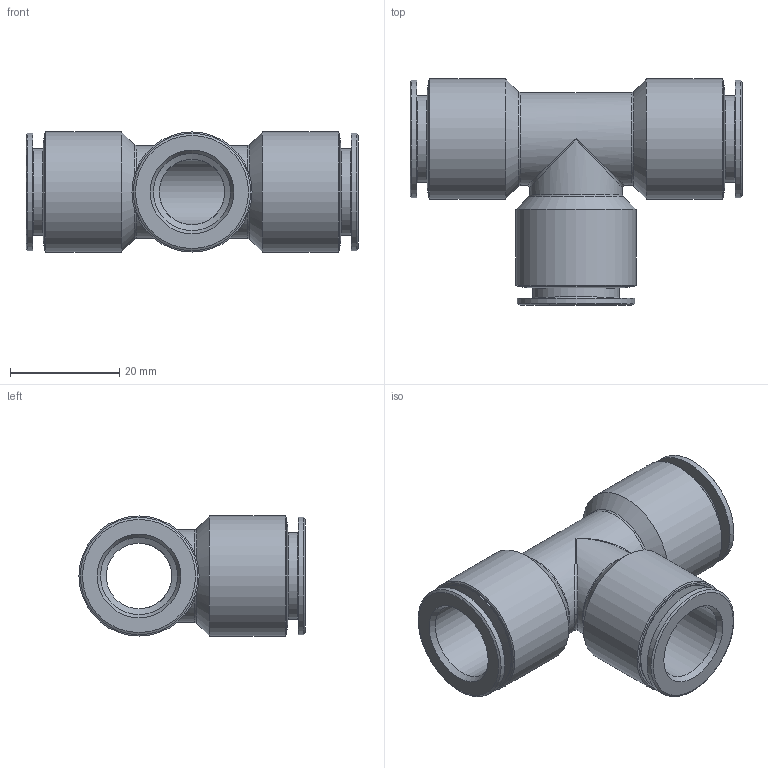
import cadquery as cq

arm_length = 30.4
arm_angles = (0, 90, 180)

pipe_radius = 8.5
pipe_bore_radius = 6.0
crotch_fillet = 0.5
taper_root_fillet = 0.5

flange_radius = 10.75
flange_thickness = 1.25
flange_chamfer_width = 0.4
flange_chamfer_depth = 0.25
neck_radius = 7.95
neck_root_fillet = 0.2

collar_radius = 10.3
collar_start = 3.1
collar_rim = 3.35

body_radius = 11.0
body_start = 3.45
body_end = 17.5
body_chamfer_width = 0.3
body_chamfer_depth = 0.15

socket_radius = 7.05
socket_mouth_radius = 7.65
socket_mouth_depth = 1.0
socket_stop = body_end
socket_stop_depth = 0.6

taper_end = body_end + body_radius - pipe_radius


def revolve_profile(points):
    """Revolve (depth, radius) points about the -X axis, depth 0 at the open end."""
    profile = [(depth - arm_length, radius) for depth, radius in points]
    return cq.Workplane("XY").polyline(profile).close().revolve(360, (0, 0, 0), (1, 0, 0))


def fillet_circle(solid, depth, radius, fillet_radius):
    """Fillet the circular edge at the given depth and radius of the -X arm."""
    edge = [
        circle for circle in solid.edges("%CIRCLE").vals()
        if (circle.startPoint() - cq.Vector(depth - arm_length, radius, 0)).Length < fillet_radius / 2
    ]
    return solid.newObject(edge).fillet(fillet_radius)


def arm_shell():
    """Outer shape of the -X arm: flange, neck, collar, body, taper and pipe to the centre."""
    shell = revolve_profile([
        (0, 0),
        (0, flange_radius - flange_chamfer_width),
        (flange_chamfer_depth, flange_radius),
        (flange_thickness, flange_radius),
        (flange_thickness, neck_radius),
        (collar_start, neck_radius),
        (collar_rim, collar_radius),
        (body_start, collar_radius),
        (body_start, body_radius - body_chamfer_width),
        (body_start + body_chamfer_depth, body_radius),
        (body_end, body_radius),
        (taper_end, pipe_radius),
        (arm_length, pipe_radius),
        (arm_length, 0),
    ])
    shell = fillet_circle(shell, flange_thickness, neck_radius, neck_root_fillet)
    return fillet_circle(shell, taper_end, pipe_radius, taper_root_fillet)


def arm_cavity():
    """Flared socket mouth, tube socket, conical stop and bore to the centre of the -X arm."""
    return revolve_profile([
        (0, 0),
        (0, socket_mouth_radius),
        (socket_mouth_depth, socket_radius),
        (socket_stop, socket_radius),
        (socket_stop + socket_stop_depth, pipe_bore_radius),
        (arm_length, pipe_bore_radius),
        (arm_length, 0),
    ])


def at_each_arm(shape):
    """Union of the -X shape turned to all three arm directions."""
    joined = cq.Workplane("XY")
    for angle in arm_angles:
        joined = joined.union(shape.rotate((0, 0, 0), (0, 0, 1), angle))
    return joined


def tee_shell():
    """Three joined arms, with the elliptical seams beside the -Y branch rounded."""
    return at_each_arm(arm_shell()).edges("%ELLIPSE").fillet(crotch_fillet)


result = tee_shell().cut(at_each_arm(arm_cavity()))